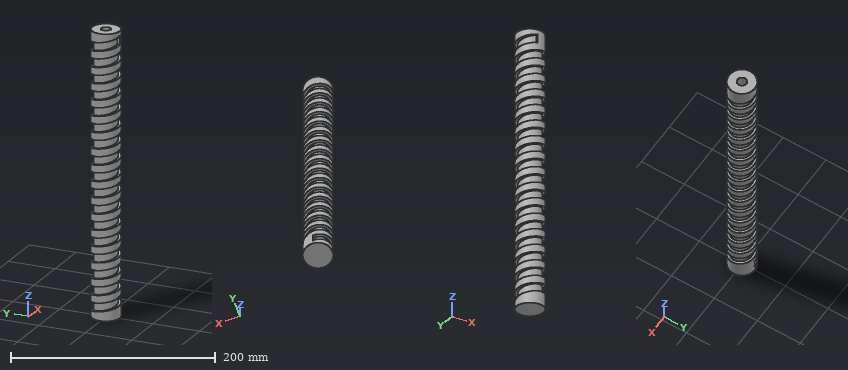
import cadquery as cq

length = 300.0
outer_radius = 15.0

bore_diameter = 10.0
bore_depth = 30.0

groove_depth = 3.0
groove_width = 9.0
groove_start_height = 10.0
groove_end_height = 290.5
groove_turns = 16.5
groove_start_angle = 90.0
cutter_overhang = 1.5


def make_shaft():
    shaft = cq.Workplane("XY").circle(outer_radius).extrude(length)
    return shaft.faces(">Z").workplane().hole(bore_diameter, bore_depth)


def make_groove_cutter():
    """Sweep a rectangle lying in an axial plane along the helix."""
    rise = groove_end_height - groove_start_height
    pitch = rise / groove_turns
    root_radius = outer_radius - groove_depth
    radial_size = groove_depth + cutter_overhang
    profile_center = root_radius + radial_size / 2

    helix = cq.Wire.makeHelix(pitch, rise, root_radius)
    cutter = (
        cq.Workplane("XZ")
        .center(profile_center, 0)
        .rect(radial_size, groove_width)
        .sweep(cq.Workplane(obj=helix), isFrenet=True)
    )
    return cutter.rotate((0, 0, 0), (0, 0, 1), groove_start_angle).translate((0, 0, groove_start_height))


result = make_shaft().cut(make_groove_cutter())